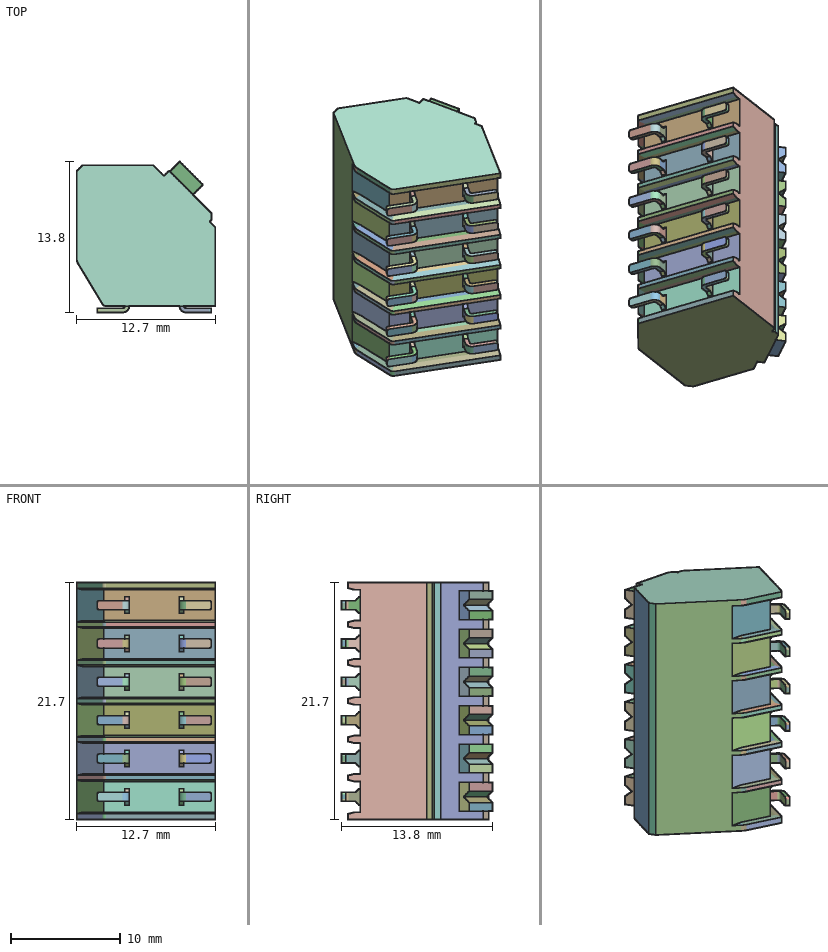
import cadquery as cq
import math

length = 21.7
width = 12.7
height = 12.9
pole_count = 6
end_wall_thickness = 0.55
rib_tip_thickness = 0.41
pole_pitch = (length - 2 * end_wall_thickness + rib_tip_thickness) / pole_count
first_pole_z = (length - (pole_count - 1) * pole_pitch) / 2

back_chamfer = 0.55
slant_width = 2.47
slant_height = 4.1
slant_top_radius = 1.0
slant_bottom_radius = 0.4
bevel_start_x = 7.0
bevel_end_y = height - (width - bevel_start_x)
ridge_start_x = 7.99
ridge_end_x = 12.17
ridge_height = 0.67
ridge_end_chamfer = 0.41

recess_depth = 1.13
rib_bevel_depth = 0.6
rib_bevel_rise = 0.15
recess_mouth_height = pole_pitch - rib_tip_thickness

button_offset = 0.09
button_length = 3.02
button_height = 1.28
button_width = 2.63
groove_width = 1.05
groove_depth = 0.74

pin_thickness = 0.41
pin_width = 0.85
pin_drop = 0.59
pin_bend_radius = 0.63
pin_tail_radius = 0.22
shoulder_width = 1.5
shoulder_straight = 0.1
left_pin_outer_x = 4.84
left_pin_tip_x = 1.89
right_pin_outer_x = 9.4
right_pin_tip_x = 12.33

overlap = 0.1
reach = 2 * length


def bevel_point(x, rise=0.0):
    """Point on the 45 degree bevel at x, then lifted square to the bevel."""
    step = rise / math.sqrt(2)
    return (x + step, height - (x - bevel_start_x) + step)


def make_housing():
    """Solid block with a raised ridge along its bevel."""
    end_step = ridge_end_chamfer / math.sqrt(2)
    outline = [
        (slant_width, 0),
        (width, 0),
        (width, bevel_end_y),
        bevel_point(ridge_end_x),
        bevel_point(ridge_end_x, ridge_height - ridge_end_chamfer),
        bevel_point(ridge_end_x - end_step, ridge_height),
        bevel_point(ridge_start_x, ridge_height),
        bevel_point(ridge_start_x),
        (bevel_start_x, height),
        (back_chamfer, height),
        (0, height - back_chamfer),
        (0, slant_height),
    ]
    block = cq.Workplane("XY").polyline(outline).close().extrude(length)
    block = block.edges(cq.NearestToPointSelector((0, slant_height, length / 2))).fillet(slant_top_radius)
    lower_edge = cq.NearestToPointSelector((slant_width, 0, length / 2))
    return block.edges(lower_edge).fillet(slant_bottom_radius)


def bevelled_band(start, direction):
    """Band running inward from one outer wall, its mouth narrowing in Z along a bevel."""
    along = cq.Vector(*direction).normalized()
    inward = cq.Vector(0, 0, 1).cross(along)
    plane = cq.Plane(origin=start, xDir=inward, normal=along)
    half_mouth = recess_mouth_height / 2
    half_floor = half_mouth - rib_bevel_rise
    profile = [
        (-overlap, -half_mouth),
        (0, -half_mouth),
        (rib_bevel_depth, -half_floor),
        (reach, -half_floor),
        (reach, half_floor),
        (rib_bevel_depth, half_floor),
        (0, half_mouth),
        (-overlap, half_mouth),
    ]
    return cq.Workplane(plane).polyline(profile).close().extrude(reach, both=True)


def make_recess():
    """Recess of one pole, centred on Z = 0, following the slant and the base."""
    region = (
        cq.Workplane("XY")
        .polyline(
            [
                (-overlap, -overlap),
                (width + overlap, -overlap),
                (width + overlap, recess_depth),
                (slant_width, recess_depth),
                (0, slant_height + recess_depth),
                (-overlap, slant_height + recess_depth),
            ]
        )
        .close()
        .extrude(pole_pitch, both=True)
    )
    base_band = bevelled_band((0, 0, 0), (1, 0, 0))
    slant_band = bevelled_band((slant_width, 0, 0), (slant_width, -slant_height, 0))
    side_band = bevelled_band((0, 0, 0), (0, -1, 0))
    return region.intersect(base_band.union(slant_band).union(side_band))


def make_button():
    """Push button of one pole, centred on Z = 0, with a V groove along its top."""
    corner = bevel_point(ridge_start_x, ridge_height)
    plane = cq.Plane(origin=(*corner, 0), xDir=(0, 0, -1), normal=(1, -1, 0))
    return (
        cq.Workplane(plane)
        .workplane(offset=button_offset)
        .polyline(
            [
                (-button_width / 2, -overlap),
                (button_width / 2, -overlap),
                (button_width / 2, button_height),
                (groove_width / 2, button_height),
                (0, button_height - groove_depth),
                (-groove_width / 2, button_height),
                (-button_width / 2, button_height),
            ]
        )
        .close()
        .extrude(button_length)
    )


def make_pin(outer_x, tip_x):
    """Bent pin centred on Z = 0, from its leg in the recess floor to its tail tip."""
    side = math.copysign(1, tip_x - outer_x)
    inner_x = outer_x + side * pin_thickness
    top_y = recess_depth + overlap
    tail_top_y = pin_thickness - pin_drop
    strip = (
        cq.Workplane("XY")
        .polyline(
            [
                (outer_x, top_y),
                (outer_x, -pin_drop),
                (tip_x, -pin_drop),
                (tip_x, tail_top_y),
                (inner_x, tail_top_y),
                (inner_x, top_y),
            ]
        )
        .close()
        .extrude(pin_width / 2, both=True)
    )
    outer_bend = cq.NearestToPointSelector((outer_x, -pin_drop, 0))
    inner_bend = cq.NearestToPointSelector((inner_x, tail_top_y, 0))
    strip = strip.edges(outer_bend).fillet(pin_bend_radius)
    strip = strip.edges(inner_bend).fillet(pin_bend_radius - pin_thickness)
    tip_face = ">X" if side > 0 else "<X"
    strip = strip.faces(tip_face).edges("|Y").fillet(pin_tail_radius)

    shoulder_y = recess_depth - shoulder_straight
    neck_y = shoulder_y - (shoulder_width - pin_width) / 2
    shoulder = (
        cq.Workplane("YZ", origin=(min(outer_x, inner_x), 0, 0))
        .polyline(
            [
                (top_y, -shoulder_width / 2),
                (top_y, shoulder_width / 2),
                (shoulder_y, shoulder_width / 2),
                (neck_y, pin_width / 2),
                (neck_y, -pin_width / 2),
                (shoulder_y, -shoulder_width / 2),
            ]
        )
        .close()
        .extrude(pin_thickness)
    )
    return strip.union(shoulder)


recess = make_recess()
pole_parts = [
    make_button(),
    make_pin(left_pin_outer_x, left_pin_tip_x),
    make_pin(right_pin_outer_x, right_pin_tip_x),
]

result = make_housing()
for pole in range(pole_count):
    pole_offset = (0, 0, first_pole_z + pole * pole_pitch)
    result = result.cut(recess.translate(pole_offset))
    for pole_part in pole_parts:
        result = result.union(pole_part.translate(pole_offset))